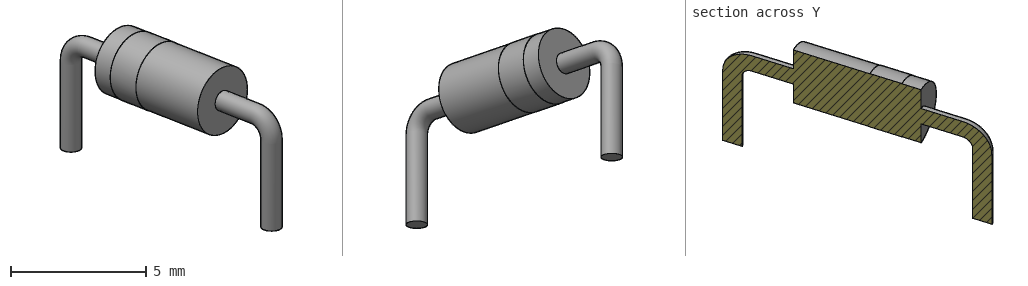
import cadquery as cq

lead_pitch = 10.16
lead_diameter = 0.8
lead_depth = 3.0
bend_radius = 0.8

body_diameter = 2.7
body_length = 5.2

band_diameter = 2.72
band_width = body_length / 4
band_offset = 0.78

axis_height = body_diameter / 2
body_start = (lead_pitch - body_length) / 2


def axial_cylinder(start_x, length, diameter):
    """Cylinder on the body axis, running toward +X from start_x."""
    return (
        cq.Workplane("YZ", origin=(start_x, 0, axis_height))
        .circle(diameter / 2)
        .extrude(length)
    )


def bent_lead():
    """One continuous wire: up the first leg, through the body, down the second leg."""
    bend_start_height = axis_height - bend_radius
    path = (
        cq.Workplane("XZ")
        .moveTo(0, -lead_depth)
        .lineTo(0, bend_start_height)
        .tangentArcPoint((bend_radius, axis_height), relative=False)
        .lineTo(lead_pitch - bend_radius, axis_height)
        .tangentArcPoint((lead_pitch, bend_start_height), relative=False)
        .lineTo(lead_pitch, -lead_depth)
    )
    return (
        cq.Workplane("XY", origin=(0, 0, -lead_depth))
        .circle(lead_diameter / 2)
        .sweep(path)
    )


body = axial_cylinder(body_start, body_length, body_diameter)
band = axial_cylinder(body_start + band_offset, band_width, band_diameter)

result = body.union(band).union(bent_lead())